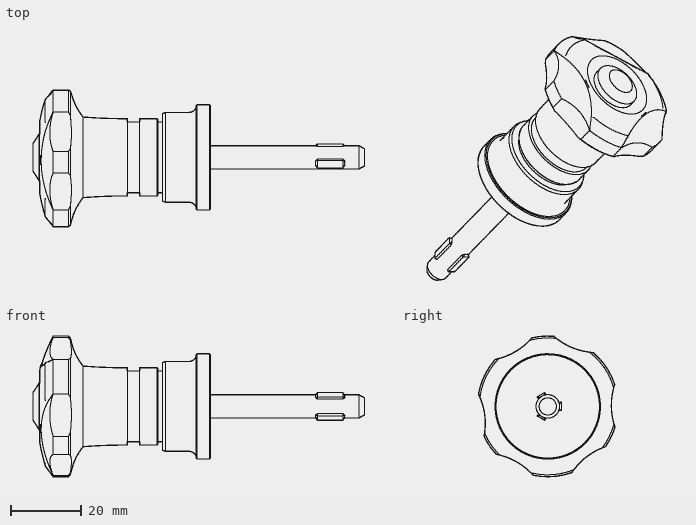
import cadquery as cq
import math


button_face_radius = 4.0
button_radius = 6.7
button_cone_length = 1.8
recess_floor_x = 3.7

knob_diameter = 40.0
knob_radius = knob_diameter / 2
rim_x = 1.9
rim_radius = 10.2
dome_mid = (2.5, 13.4)
dome_end = (3.5, 16.9)
bevel_end_x = 5.7
knob_back_x = 10.6
knob_back_chamfer = 0.6
flare_mid = (12.2, 14.6)
flare_end = (14.2, 11.5)

lobe_pairs = 3
first_wide_lobe_angle = 26.0
wide_lobe_half_angle = 16.4
narrow_lobe_half_angle = 9.3
lobe_pitch = 180 / lobe_pairs
valley_floor_radius = 18.1
valley_radius = 18.8

scoop_start = (2.3, 11.3)
scoop_mid = (3.8, 15.7)
scoop_end = (5.5, 19.5)
scoop_edge_distance = 11.6
scoop_edge_radius = 34.4
scoop_edge_fillet = 0.5

neck_mid = (20.5, 11.1)
neck_end = (26.8, 11.0)
groove_radius = 10.1
ring_radius = 11.0
ring_start_x = 30.3
ring_end_x = 35.5
ring_chamfer = 0.3

collar_x = 36.7
collar_radius = 12.8
collar_chamfer_length = 0.85
collar_chamfer_height = 0.4
cove_start_x = 44.3
cove_mid = (45.7, 13.3)
cove_end = (46.3, 14.2)
flange_radius = 15.0
flange_end_x = 50.4
flange_chamfer = 0.3

pin_radius = 3.34
pin_end_x = 94.15
tip_length = 1.6
tip_radius = 2.45

key_count = 3
key_center_x = 84.4
key_length = 8.6
key_width = 2.45
key_top_radius = 3.9
key_bottom_radius = 2.4
key_bevel = 0.7


def revolve_about_x(profile):
    return profile.close().revolve(360, (0, 0, 0), (1, 0, 0))


def parallel_cylinder(distance, angle, radius, start_x, end_x):
    """Cylinder parallel to X; angle is counted from -Y toward +Z."""
    y = -distance * math.cos(math.radians(angle))
    z = distance * math.sin(math.radians(angle))
    plane = cq.Workplane("YZ", origin=(start_x, 0, 0))
    return plane.center(y, z).circle(radius).extrude(end_x - start_x)


def make_knob():
    profile = (
        cq.Workplane("XY")
        .moveTo(0, 0)
        .lineTo(0, button_face_radius)
        .lineTo(button_cone_length, button_radius)
        .lineTo(recess_floor_x, button_radius)
        .lineTo(rim_x, rim_radius)
        .threePointArc(dome_mid, dome_end)
        .lineTo(bevel_end_x, knob_radius)
        .lineTo(knob_back_x - knob_back_chamfer, knob_radius)
        .lineTo(knob_back_x, knob_radius - knob_back_chamfer)
        .threePointArc(flare_mid, flare_end)
        .lineTo(flare_end[0], 0)
    )
    return revolve_about_x(profile)


def cut_scoops(knob):
    profile = (
        cq.Workplane("XY")
        .moveTo(*scoop_start)
        .threePointArc(scoop_mid, scoop_end)
        .lineTo(bevel_end_x, knob_radius)
        .lineTo(0, knob_radius)
        .lineTo(0, scoop_start[1])
    )
    scooped_knob = knob.cut(revolve_about_x(profile))
    center_distance = scoop_edge_distance + scoop_edge_radius
    full_dome = knob
    for i in range(lobe_pairs):
        angle = first_wide_lobe_angle + (2 * i + 1) * lobe_pitch
        region = parallel_cylinder(center_distance, angle, scoop_edge_radius, 0, bevel_end_x)
        full_dome = full_dome.cut(region)
    full_dome = full_dome.edges("not (%CIRCLE or %LINE)").fillet(scoop_edge_fillet)
    return scooped_knob.union(full_dome)


def cut_valleys(knob):
    center_distance = valley_floor_radius + valley_radius
    offset = (wide_lobe_half_angle + lobe_pitch - narrow_lobe_half_angle) / 2
    for i in range(lobe_pairs):
        wide_lobe_angle = first_wide_lobe_angle + 2 * i * lobe_pitch
        for angle in (wide_lobe_angle - offset, wide_lobe_angle + offset):
            knob = knob.cut(parallel_cylinder(center_distance, angle, valley_radius, 0, flare_end[0]))
    return knob


def make_body():
    profile = (
        cq.Workplane("XY")
        .moveTo(flare_end[0], 0)
        .lineTo(*flare_end)
        .threePointArc(neck_mid, neck_end)
        .lineTo(neck_end[0], groove_radius)
        .lineTo(ring_start_x, groove_radius)
        .lineTo(ring_start_x, ring_radius)
        .lineTo(ring_end_x - ring_chamfer, ring_radius)
        .lineTo(ring_end_x, ring_radius - ring_chamfer)
        .lineTo(ring_end_x, groove_radius)
        .lineTo(collar_x, groove_radius)
        .lineTo(collar_x, collar_radius - collar_chamfer_height)
        .lineTo(collar_x + collar_chamfer_length, collar_radius)
        .lineTo(cove_start_x, collar_radius)
        .threePointArc(cove_mid, cove_end)
        .lineTo(cove_end[0], flange_radius - flange_chamfer)
        .lineTo(cove_end[0] + flange_chamfer, flange_radius)
        .lineTo(flange_end_x - flange_chamfer, flange_radius)
        .lineTo(flange_end_x, flange_radius - flange_chamfer)
        .lineTo(flange_end_x, pin_radius)
        .lineTo(pin_end_x - tip_length, pin_radius)
        .lineTo(pin_end_x, tip_radius)
        .lineTo(pin_end_x, 0)
    )
    return revolve_about_x(profile)


def make_key():
    """Key standing on the +Y side of the pin, with beveled corners and sloping ends."""
    height = key_top_radius - key_bottom_radius
    center_radius = (key_top_radius + key_bottom_radius) / 2
    return (
        cq.Workplane("XY")
        .box(key_length, height, key_width)
        .edges("|Y")
        .chamfer(key_bevel)
        .faces(">Y")
        .edges("<X or >X")
        .chamfer(key_bevel)
        .translate((key_center_x, center_radius, 0))
    )


result = cut_valleys(cut_scoops(make_knob())).union(make_body())
for i in range(key_count):
    result = result.union(make_key().rotate((0, 0, 0), (1, 0, 0), i * 360 / key_count))